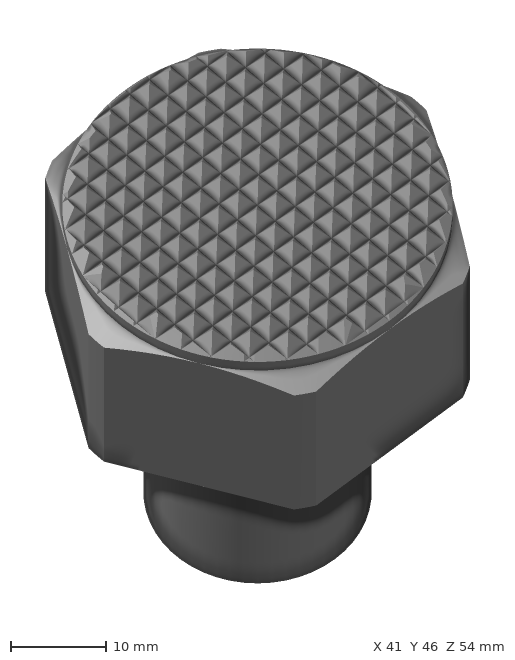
import cadquery as cq
import math

total_height = 54.0
across_flats = 41.0
corner_diameter = 46.0

shank_diameter = 24.0
shank_length = 29.0
shank_chamfer = 1.6

tooth_height = 2.0
tooth_angle = 70.4
rim_angle = 45.0

collar_height = 1.5
shoulder_angle = 30.0

collar_radius = across_flats / 2
corner_radius = corner_diameter / 2
tooth_base_z = total_height - tooth_height
tooth_pitch = 2 * tooth_height * math.tan(math.radians(tooth_angle / 2))
collar_base_z = tooth_base_z - collar_height
shoulder_drop = (corner_radius - collar_radius) * math.tan(math.radians(shoulder_angle))
rim_inset = tooth_height / math.tan(math.radians(rim_angle))


def make_shank():
    """Plain cylinder below the head, chamfered at its lower end."""
    shank = cq.Workplane("XY").circle(shank_diameter / 2).extrude(shank_length)
    return shank.faces("<Z").chamfer(shank_chamfer)


def make_head():
    """Hexagon with flats facing +X and -X, trimmed by the turned profile of the head."""
    turned = (
        cq.Workplane("XZ")
        .moveTo(0, shank_length)
        .lineTo(corner_radius, shank_length)
        .lineTo(corner_radius, collar_base_z - shoulder_drop)
        .lineTo(collar_radius, collar_base_z)
        .lineTo(collar_radius, tooth_base_z)
        .lineTo(collar_radius - rim_inset, total_height)
        .lineTo(0, total_height)
        .close()
        .revolve(360, (0, 0, 0), (0, 1, 0))
    )
    hexagon = (
        cq.Workplane("XY")
        .workplane(offset=shank_length)
        .polygon(6, across_flats, circumscribed=True)
        .extrude(total_height - shank_length)
    )
    return turned.intersect(hexagon)


def make_groove_set(plane):
    """Parallel V grooves across the whole top face, one of them through the centre."""
    grooves_per_side = math.floor(collar_radius / tooth_pitch)
    grooves = cq.Workplane(plane)
    for index in range(-grooves_per_side, grooves_per_side + 1):
        centre = index * tooth_pitch
        grooves = (
            grooves.moveTo(centre, tooth_base_z)
            .lineTo(centre + tooth_pitch / 2, total_height)
            .lineTo(centre - tooth_pitch / 2, total_height)
            .close()
        )
    return grooves.extrude(corner_radius, both=True)


head = make_head().cut(make_groove_set("XZ")).cut(make_groove_set("YZ"))
result = head.union(make_shank())